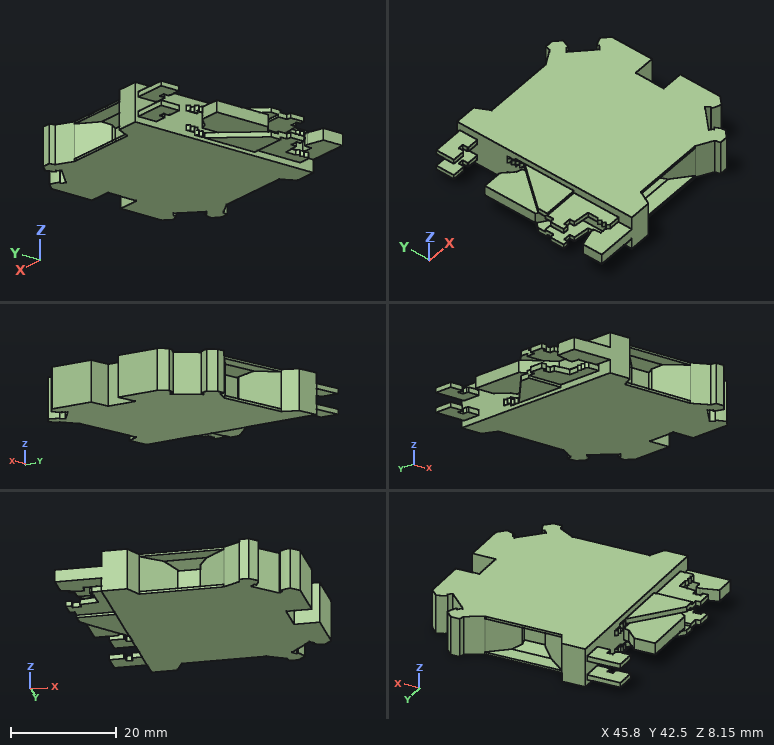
import cadquery as cq
import math


body_length = 36.75
body_height = 8.15
half_width = 21.25

rail_end_top = 5.0
waist_start = 6.6
waist_end = 23.0
waist_half_width = 18.15
shoulder_x = 26.45
shoulder_y = 20.05
shoulder_top_x = 26.75

end_notch_depth = 5.0
end_notch_half_width = 3.4

slot_offset = 10.85
corner_height = 35.25
slot_floor_height = 32.05
slot_lip_height = 33.15
slot_half_width = 3.15
lip_half_gap = 2.65
slot_mouth_half_width = 3.53
lip_bulge = 0.1

funnel_half_height = 3.55
funnel_roof_depth = 3.4
funnel_neck_depth = 5.5
funnel_neck_half_height = 2.2
funnel_neck_start = 12.85
funnel_neck_end = 17.4
funnel_wall_slope = math.tan(math.radians(50))

foot_reach = 9.05
foot_edge = -8.05
embed = 0.9

plate_thickness = 1.05
plate_gap = 2.95
plate_mid_z = -0.27
boss_rise = 0.5
boss_outer = (-7.2, 7.1)
boss_inner = (-6.7, 6.65)

tooth_pitch = 1.0
tooth_depth = tooth_pitch / 2
upper_teeth_end = 9.05
upper_teeth_count = 4
lower_teeth_end = -15.0
lower_teeth_count = 3

plate_diagonal_start = 4.75
plate_diagonal_end = -4.95
nose_shoulder = -8.65
nose_top = -8.85
nose_bottom = -12.0
finger_notch = (-7.9, -6.25)
finger_notch_top = -11.18
jaw_mouth = -12.3
jaw_back = -12.75
jaw_root = -2.6

block_bottom = -1.4
block_top = 1.05
block_end = 8.0
block_ramp_foot = (-1.3, 5.72)
block_ramp_top_x = -3.55
block_root_y = 5.3
recess_start = -4.25
recess_corner = -8.85
recess_back = -1.85
recess_end = -17.25
jaw_step_x = -4.45
jaw_tip = (-5.4, -4.63)
jaw_tip_y = -15.6
jaw_front_y = -16.63

hook_reach = 7.1
hook_bottom = 16.25
hook_top = 20.55
hook_slot = (-4.0, -2.8)
hook_slot_top = 17.6
hook_slot_flare = 0.25


def prism(points, bottom, top):
    """Extrude a closed XY outline between two Z levels."""
    return cq.Workplane("XY").workplane(offset=bottom).polyline(points).close().extrude(top - bottom)


def mirrored_y(shape):
    """The shape together with its mirror image across Y = 0."""
    return shape.union(shape.mirror("XZ"))


def corner_slot():
    """Cutter for the marker-strip slot of the +Y corner."""

    def at(side, height):
        along = side + slot_offset
        return ((height + along) / math.sqrt(2), (height - along) / math.sqrt(2))

    lip_middle_height = (slot_lip_height + corner_height) / 2
    lip_middle = (lip_half_gap + slot_mouth_half_width) / 2 - lip_bulge
    return (
        cq.Workplane("XY")
        .workplane(offset=-body_height / 2)
        .moveTo(*at(-slot_half_width, slot_floor_height))
        .lineTo(*at(slot_half_width, slot_floor_height))
        .lineTo(*at(slot_half_width, slot_lip_height))
        .lineTo(*at(lip_half_gap, slot_lip_height))
        .threePointArc(at(lip_middle, lip_middle_height), at(slot_mouth_half_width, corner_height))
        .lineTo(*at(-slot_mouth_half_width, corner_height))
        .threePointArc(at(-lip_middle, lip_middle_height), at(-lip_half_gap, slot_lip_height))
        .lineTo(*at(-slot_half_width, slot_lip_height))
        .close()
        .extrude(body_height)
    )


def wire_funnel():
    """Cutter for the +Y wire entry: slanted side walls, roof and floor closing in towards the neck."""
    neck_y = waist_half_width - funnel_neck_depth
    plan = prism(
        [
            (waist_start, waist_half_width),
            (funnel_neck_start, waist_half_width - (funnel_neck_start - waist_start) / funnel_wall_slope),
            (funnel_neck_start, neck_y),
            (funnel_neck_end, neck_y),
            (funnel_neck_end, waist_half_width - (waist_end - funnel_neck_end) / funnel_wall_slope),
            (waist_end, waist_half_width),
        ],
        -funnel_half_height,
        funnel_half_height,
    )
    roof_y = waist_half_width - funnel_roof_depth
    profile = (
        cq.Workplane("YZ")
        .moveTo(waist_half_width, -funnel_half_height)
        .lineTo(waist_half_width, funnel_half_height)
        .lineTo(roof_y, funnel_half_height)
        .lineTo(neck_y, funnel_neck_half_height)
        .lineTo(neck_y, -funnel_neck_half_height)
        .lineTo(roof_y, -funnel_half_height)
        .close()
        .extrude(body_length)
    )
    return plan.intersect(profile)


def housing():
    corner_reach = corner_height * math.sqrt(2)
    half = prism(
        [
            (0, 0),
            (0, half_width),
            (rail_end_top, half_width),
            (waist_start, waist_half_width),
            (waist_end, waist_half_width),
            (shoulder_x, shoulder_y),
            (shoulder_top_x, half_width),
            (corner_reach - half_width, half_width),
            (body_length, corner_reach - body_length),
            (body_length, end_notch_half_width),
            (body_length - end_notch_depth, end_notch_half_width),
            (body_length - end_notch_depth, 0),
        ],
        -body_height / 2,
        body_height / 2,
    )
    return mirrored_y(half.cut(corner_slot()).cut(wire_funnel()))


def teeth(root_x, end_y, count):
    """Points of a row of pointed teeth, from the first valley to the last one."""
    points = []
    for step in range(2 * count + 1):
        y = end_y - step * tooth_pitch / 2
        x = root_x - tooth_depth * (step % 2)
        points.append((x, y))
    return points


def rail_plate():
    """Upper stamped plate, with its inner face at Z = 0 and its embossing towards +Z."""
    lower_end = lower_teeth_end - lower_teeth_count * tooth_pitch
    outline = [
        (embed, upper_teeth_end),
        *teeth(0, upper_teeth_end, upper_teeth_count),
        (0, plate_diagonal_start),
        (foot_edge, plate_diagonal_end),
        (foot_edge, nose_shoulder),
        (-foot_reach, nose_top),
        (-foot_reach, nose_bottom),
        (finger_notch[0], nose_bottom),
        (finger_notch[0], finger_notch_top),
        (finger_notch[1], finger_notch_top),
        (finger_notch[1], jaw_mouth),
        (jaw_root, jaw_back),
        *teeth(jaw_root, lower_teeth_end, lower_teeth_count),
        (embed, lower_end),
    ]
    section = (
        cq.Workplane("YZ")
        .workplane(offset=-foot_reach)
        .polyline(
            [
                (lower_end, 0),
                (boss_inner[0], 0),
                (boss_inner[0], boss_rise),
                (boss_inner[1], boss_rise),
                (boss_inner[1], 0),
                (upper_teeth_end, 0),
                (upper_teeth_end, plate_thickness),
                (boss_outer[1], plate_thickness),
                (boss_outer[1], plate_thickness + boss_rise),
                (boss_outer[0], plate_thickness + boss_rise),
                (boss_outer[0], plate_thickness),
                (lower_end, plate_thickness),
            ]
        )
        .close()
        .extrude(foot_reach + embed)
    )
    return prism(outline, 0, plate_thickness + boss_rise).intersect(section)


def rail_hook():
    """Separate hook end of a stamped plate, with its inner face at Z = 0."""
    slot_left, slot_right = hook_slot
    return prism(
        [
            (embed, hook_top),
            (-hook_reach, hook_top),
            (-hook_reach, hook_bottom),
            (slot_left - hook_slot_flare, hook_bottom),
            (slot_left, hook_bottom + hook_slot_flare),
            (slot_left, hook_slot_top),
            (slot_right, hook_slot_top),
            (slot_right, hook_bottom + hook_slot_flare),
            (slot_right + hook_slot_flare, hook_bottom),
            (embed, hook_bottom),
        ],
        0,
        plate_thickness,
    )


def centre_block():
    return prism(
        [
            (embed, block_root_y),
            (0, block_root_y),
            block_ramp_foot,
            (block_ramp_top_x, block_end),
            (foot_edge, block_end),
            (foot_edge, recess_start),
            (recess_back, recess_corner),
            (recess_back, recess_end),
            (jaw_step_x, recess_end),
            (jaw_tip[1], jaw_tip_y),
            (jaw_tip[0], jaw_tip_y),
            (-foot_reach, jaw_front_y),
            (-foot_reach, -half_width),
            (embed, -half_width),
        ],
        block_bottom,
        block_top,
    )


def rail_foot():
    upper = rail_plate().union(rail_hook()).translate((0, 0, plate_gap / 2))
    plates = upper.union(upper.mirror("XY")).translate((0, 0, plate_mid_z))
    return plates.union(centre_block())


result = housing().union(rail_foot())